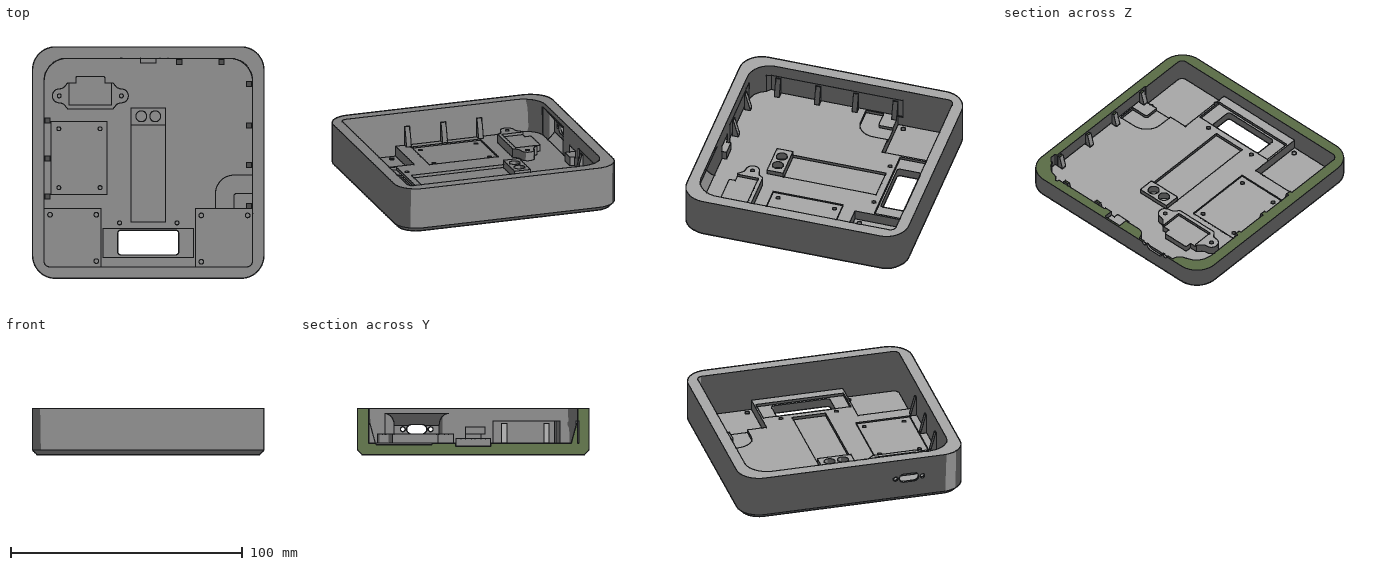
import cadquery as cq
import math

SIZE = 100.0
HEIGHT = 20.0
WALL = 5.0
FLOOR_Z = 5.0
OUTER_RADIUS = 10.0
BOTTOM_CHAMFER = 2.0
INNER = SIZE / 2 - WALL
REAR_RADIUS = 10.0
REAR_RADIUS_AT_FLOOR = 8.0
FRONT_RADIUS = 2.5

OVERLAP = 1.0

BAND_TOP_Z = 14.5
BAND_DEPTH = 0.6
BAND_REAR_START = 8.5
BAND_RIGHT_START = -22.0
NOTCH_DEPTH = 1.6
NOTCH_START = INNER - REAR_RADIUS
NOTCH_REAR_END = 37.4
NOTCH_RIGHT_END = 39.3
NOTCH_INSIDE = INNER - 2 * OVERLAP

RIB_WIDTH = 2.2
RIB_REACH = 2.6
RIB_TIP = 0.4
RIB_FOOT = 0.5
RIB_TOP_Z = 13.6
REAR_RIB_X = (13.4, 31.6)
RIGHT_RIB_Y = (34.0, 16.0, -1.0, -18.8)
LEFT_RIB_Y = (18.2, 1.8, -14.7)

SCREW_DIAMETER = 1.7
SCREW_DEPTH = 2.0

BAY_WIDTH = 24.6
BAY_LENGTH = 25.1
BAY_Z = 0.5
BAY_SCREW_DIAMETER = 2.0
BAY_SCREW_DEPTH = 0.3
BAY_SCREW_SPACING = 20.0
LEFT_BAY_SCREW = (-22.4, -22.5)
RIGHT_BAY_SCREW = (22.9, -22.8)

BOARD_CENTER = (-29.9, 1.9)
BOARD_SIZE = (24.0, 31.5)
BOARD_DEPTH = 0.6
BOARD_SCREW_SPACING = (17.8, 25.4)
BOARD_SCREW_CENTER = (-29.7, 1.9)

DISPLAY_SIZE = (39.2, 12.5)
DISPLAY_Y = -34.6
DISPLAY_DEPTH = 1.2
WINDOW_SIZE = (26.2, 10.6)
WINDOW_Y = -34.5
WINDOW_RADIUS = 1.3
DISPLAY_SCREW_X = 12.4
DISPLAY_SCREW_Y = -26.0

TROUGH_WIDTH = 15.0
TROUGH_REAR_Y = 23.5
TROUGH_FRONT_Y = -25.6
TROUGH_DEPTH = 1.3
BLOCK_FRONT_Y = 16.3
BLOCK_HEIGHT = 2.0
SOCKET_DIAMETER = 4.7
SOCKET_X = 3.0
SOCKET_Y = 20.0

MOUNT_X = -25.0
MOUNT_Y = 28.8
MOUNT_HALF_WIDTH = 9.8
MOUNT_HALF_LENGTH = 5.6
MOUNT_HEIGHT = 3.9
EAR_X = 13.4
EAR_RADIUS = 3.0
EAR_BLEND = (10.8, 4.4)
EAR_BLEND_MIDDLE = (11.9, 3.4)
SEAT_HALF_WIDTH = 9.1
SEAT_FRONT_Y = 24.9
SEAT_DEPTH = 1.2
TAB_WIDTH = 12.5
TAB_REAR_Y = 37.2
TAB_RADIUS = 0.7

CHANNEL_LEFT = 29.0
CHANNEL_REAR = -5.4
CHANNEL_WIDTH = 8.0
CHANNEL_DEPTH = 1.3
CHANNEL_OUTER_RADIUS = 8.0
CHANNEL_INNER_RADIUS = 1.0

PORT_X = -24.4
PORT_Z = 10.0
PORT_PANEL_Y = 49.0
PORT_FLARE = PORT_PANEL_Y - INNER
PORT_PANEL_HALF_WIDTH = 9.7
PORT_PANEL_HALF_HEIGHT = 2.7
PORT_MOUTH_HALF_HEIGHT = 7.8
PORT_SLOT_Z = 11.0
PORT_SLOT_WIDTH = 8.6
PORT_SLOT_HEIGHT = 4.0
PORT_SCREW_SPACING = 12.0
PORT_SCREW_DIAMETER = 2.0

BUTTON_LEFT = -3.3
BUTTON_RIGHT = 3.3
BUTTON_FRONT_Y = 43.0
BUTTON_TOP_Z = 8.9
BUTTON_OPENING_RIGHT = 5.0
BUTTON_OPENING_TOP_Z = 12.0
BUTTON_OPENING_BACK_Y = 49.0


def box(x0, x1, y0, y1, z0, z1):
    return cq.Workplane("XY").box(x1 - x0, y1 - y0, z1 - z0, centered=False).translate((x0, y0, z0))


def centered_box(center, size, z0, z1):
    return cq.Workplane("XY", origin=(*center, z0)).rect(*size).extrude(z1 - z0)


def holes(points, diameter, top_z, depth):
    plane = cq.Workplane("XY", origin=(0, 0, top_z - depth))
    return plane.pushPoints(points).circle(diameter / 2).extrude(depth)


def cavity_outline(z, rear_radius):
    """Square outline with large rear corners and small front corners."""
    rear = INNER - rear_radius
    front = INNER - FRONT_RADIUS
    rear_mid = rear + rear_radius * math.sqrt(0.5)
    front_mid = front + FRONT_RADIUS * math.sqrt(0.5)
    return (
        cq.Workplane("XY", origin=(0, 0, z))
        .moveTo(-rear, INNER)
        .lineTo(rear, INNER)
        .threePointArc((rear_mid, rear_mid), (INNER, rear))
        .lineTo(INNER, -front)
        .threePointArc((front_mid, -front_mid), (front, -INNER))
        .lineTo(-front, -INNER)
        .threePointArc((-front_mid, -front_mid), (-INNER, -front))
        .lineTo(-INNER, rear)
        .threePointArc((-rear_mid, rear_mid), (-rear, INNER))
        .close()
    )


def shell():
    body = (
        cq.Workplane("XY")
        .rect(SIZE, SIZE)
        .extrude(HEIGHT)
        .edges("|Z")
        .fillet(OUTER_RADIUS)
        .faces("<Z")
        .chamfer(BOTTOM_CHAMFER)
    )
    floor_wire = cavity_outline(FLOOR_Z, REAR_RADIUS_AT_FLOOR).wires().val()
    rim_wire = cavity_outline(HEIGHT, REAR_RADIUS).wires().val()
    cavity = cq.Solid.makeLoft([floor_wire, rim_wire], True)
    return body.cut(cq.Workplane(cavity))


def notch(end):
    """Plan of the rear-wall notch, with a 45-degree face that meets the wall at x = end."""
    return [
        (NOTCH_START, NOTCH_INSIDE),
        (NOTCH_START, INNER + NOTCH_DEPTH),
        (end - NOTCH_DEPTH, INNER + NOTCH_DEPTH),
        (end, INNER),
        (end, NOTCH_INSIDE),
    ]


def wall_bands():
    """Recesses in the rear and right walls, each ending in a slanted notch at the shared corner."""
    inside = INNER - OVERLAP
    band_height = BAND_TOP_Z - FLOOR_Z
    rear = box(BAND_REAR_START, NOTCH_START, inside, INNER + BAND_DEPTH, FLOOR_Z, BAND_TOP_Z)
    right = box(inside, INNER + BAND_DEPTH, BAND_RIGHT_START, NOTCH_START, FLOOR_Z, BAND_TOP_Z)
    right_notch = [(y, x) for x, y in notch(NOTCH_RIGHT_END)]
    cutter = rear.union(right)
    for points in (notch(NOTCH_REAR_END), right_notch):
        prism = cq.Workplane("XY", origin=(0, 0, FLOOR_Z)).polyline(points).close().extrude(band_height)
        cutter = cutter.union(prism)
    return cutter


def rib(x, y, angle):
    """Rib that leans on a wall; at angle 0 it stands on the rear wall."""
    profile = [
        (-RIB_REACH, FLOOR_Z),
        (-RIB_REACH, FLOOR_Z + RIB_FOOT),
        (-RIB_TIP, RIB_TOP_Z),
        (0, RIB_TOP_Z),
        (0, FLOOR_Z),
    ]
    solid = cq.Workplane("YZ").polyline(profile).close().extrude(RIB_WIDTH / 2, both=True)
    return solid.rotate((0, 0, 0), (0, 0, 1), angle).translate((x, y, 0))


def ribs():
    places = [(x, INNER, 0) for x in REAR_RIB_X]
    places += [(INNER, y, -90) for y in RIGHT_RIB_Y]
    places += [(-INNER, y, 90) for y in LEFT_RIB_Y]
    group = rib(*places[0])
    for place in places[1:]:
        group = group.union(rib(*place))
    return group


def corner_bay(side, screw):
    """Front corner bay on one side (-1 left, 1 right) with three screw holes."""
    outline = cavity_outline(BAY_Z, REAR_RADIUS_AT_FLOOR).extrude(FLOOR_Z - BAY_Z)
    center = (side * (INNER - BAY_WIDTH / 2), -INNER + BAY_LENGTH / 2)
    bay = centered_box(center, (BAY_WIDTH, BAY_LENGTH), BAY_Z, FLOOR_Z).intersect(outline)
    x, y = screw
    points = [
        (x, y),
        (x + side * BAY_SCREW_SPACING, y),
        (x, y - BAY_SCREW_SPACING),
    ]
    return bay.union(holes(points, BAY_SCREW_DIAMETER, BAY_Z, BAY_SCREW_DEPTH))


def board_seat():
    seat_z = FLOOR_Z - BOARD_DEPTH
    seat = centered_box(BOARD_CENTER, BOARD_SIZE, seat_z, FLOOR_Z)
    x, y = BOARD_SCREW_CENTER
    dx, dy = (spacing / 2 for spacing in BOARD_SCREW_SPACING)
    points = [(x + i * dx, y + j * dy) for i in (-1, 1) for j in (-1, 1)]
    return seat.union(holes(points, SCREW_DIAMETER, seat_z, SCREW_DEPTH))


def display_seat():
    seat = centered_box((0, DISPLAY_Y), DISPLAY_SIZE, FLOOR_Z - DISPLAY_DEPTH, FLOOR_Z)
    window = centered_box((0, WINDOW_Y), WINDOW_SIZE, 0, FLOOR_Z).edges("|Z").fillet(WINDOW_RADIUS)
    points = [(side * DISPLAY_SCREW_X, DISPLAY_SCREW_Y) for side in (-1, 1)]
    return seat.union(window).union(holes(points, SCREW_DIAMETER, FLOOR_Z, SCREW_DEPTH))


def trough():
    half = TROUGH_WIDTH / 2
    return box(-half, half, TROUGH_FRONT_Y, BLOCK_FRONT_Y, FLOOR_Z - TROUGH_DEPTH, FLOOR_Z)


def socket_block():
    half = TROUGH_WIDTH / 2
    return box(-half, half, BLOCK_FRONT_Y, TROUGH_REAR_Y, FLOOR_Z, FLOOR_Z + BLOCK_HEIGHT)


def sockets():
    points = [(side * SOCKET_X, SOCKET_Y) for side in (-1, 1)]
    return holes(points, SOCKET_DIAMETER, FLOOR_Z + BLOCK_HEIGHT, BLOCK_HEIGHT + TROUGH_DEPTH)


def mount():
    """Raised eared plate with a lowered seat that runs out over a rear tab."""
    top_z = FLOOR_Z + MOUNT_HEIGHT
    seat_z = top_z - SEAT_DEPTH
    rear_y = MOUNT_Y + MOUNT_HALF_LENGTH
    half_x = MOUNT_HALF_WIDTH
    half_y = MOUNT_HALF_LENGTH
    blend_x, blend_y = EAR_BLEND
    middle_x, middle_y = EAR_BLEND_MIDDLE
    plate = (
        cq.Workplane("XY", origin=(MOUNT_X, MOUNT_Y, FLOOR_Z))
        .moveTo(-half_x, half_y)
        .lineTo(half_x, half_y)
        .lineTo(blend_x, blend_y)
        .threePointArc((middle_x, middle_y), (EAR_X, EAR_RADIUS))
        .threePointArc((EAR_X + EAR_RADIUS, 0), (EAR_X, -EAR_RADIUS))
        .threePointArc((middle_x, -middle_y), (blend_x, -blend_y))
        .lineTo(half_x, -half_y)
        .lineTo(-half_x, -half_y)
        .lineTo(-blend_x, -blend_y)
        .threePointArc((-middle_x, -middle_y), (-EAR_X, -EAR_RADIUS))
        .threePointArc((-EAR_X - EAR_RADIUS, 0), (-EAR_X, EAR_RADIUS))
        .threePointArc((-middle_x, middle_y), (-blend_x, blend_y))
        .close()
        .extrude(MOUNT_HEIGHT)
    )
    tab = box(MOUNT_X - TAB_WIDTH / 2, MOUNT_X + TAB_WIDTH / 2, MOUNT_Y, TAB_REAR_Y, FLOOR_Z, seat_z)
    tab = tab.edges("|Z and >Y").fillet(TAB_RADIUS)
    seat = box(MOUNT_X - SEAT_HALF_WIDTH, MOUNT_X + SEAT_HALF_WIDTH, SEAT_FRONT_Y, rear_y, seat_z, top_z)
    points = [(MOUNT_X + side * EAR_X, MOUNT_Y) for side in (-1, 1)]
    return plate.cut(seat).union(tab).cut(holes(points, SCREW_DIAMETER, top_z, MOUNT_HEIGHT))


def cable_channel():
    bay_y = -INNER + BAY_LENGTH
    bottom_z = FLOOR_Z - CHANNEL_DEPTH

    def rounded_block(offset, radius):
        """Block from the bay to the right wall, with its rear left corner rounded."""
        block = box(CHANNEL_LEFT + offset, INNER, bay_y, CHANNEL_REAR - offset, bottom_z, FLOOR_Z)
        return block.edges("|Z and <X and >Y").fillet(radius)

    return rounded_block(0, CHANNEL_OUTER_RADIUS).cut(rounded_block(CHANNEL_WIDTH, CHANNEL_INNER_RADIUS))


def port():
    """Rear-wall pocket with rounded sides and sloped top and bottom, plus a slot and two screw holes."""
    narrow = PORT_PANEL_HALF_WIDTH
    wide = narrow + PORT_FLARE
    bend = PORT_FLARE * (1 - math.sqrt(0.5))
    inside = INNER - OVERLAP
    plan = (
        cq.Workplane("XY")
        .moveTo(PORT_X - wide, inside)
        .lineTo(PORT_X + wide, inside)
        .lineTo(PORT_X + wide, INNER)
        .threePointArc((PORT_X + narrow + bend, INNER + bend), (PORT_X + narrow, PORT_PANEL_Y))
        .lineTo(PORT_X - narrow, PORT_PANEL_Y)
        .threePointArc((PORT_X - narrow - bend, INNER + bend), (PORT_X - wide, INNER))
        .close()
        .extrude(HEIGHT)
    )
    side = (
        cq.Workplane("YZ", origin=(PORT_X - wide, 0, PORT_Z))
        .polyline([
            (inside, -PORT_MOUTH_HALF_HEIGHT),
            (INNER, -PORT_MOUTH_HALF_HEIGHT),
            (PORT_PANEL_Y, -PORT_PANEL_HALF_HEIGHT),
            (PORT_PANEL_Y, PORT_PANEL_HALF_HEIGHT),
            (INNER, PORT_MOUTH_HALF_HEIGHT),
            (inside, PORT_MOUTH_HALF_HEIGHT),
        ])
        .close()
        .extrude(2 * wide)
    )
    above_floor = box(-INNER, INNER, inside, INNER, FLOOR_Z, HEIGHT)
    behind_wall = box(-INNER, INNER, INNER, SIZE / 2, 0, HEIGHT)
    pocket = plan.intersect(side).intersect(above_floor.union(behind_wall))
    depth = SIZE / 2 - INNER
    rear = cq.Workplane("XZ", origin=(PORT_X, SIZE / 2, PORT_SLOT_Z))
    slot = rear.slot2D(PORT_SLOT_WIDTH, PORT_SLOT_HEIGHT).extrude(depth)
    screws = rear.rarray(PORT_SCREW_SPACING, 1, 2, 1).circle(PORT_SCREW_DIAMETER / 2).extrude(depth)
    return pocket.union(slot).union(screws)


def button_opening():
    return box(BUTTON_LEFT, BUTTON_OPENING_RIGHT, INNER - OVERLAP, BUTTON_OPENING_BACK_Y,
               BUTTON_TOP_Z, BUTTON_OPENING_TOP_Z)


def button_guide():
    return box(BUTTON_LEFT, BUTTON_RIGHT, BUTTON_FRONT_Y, INNER, FLOOR_Z, BUTTON_TOP_Z)


result = (
    shell()
    .cut(wall_bands())
    .cut(port())
    .cut(button_opening())
    .cut(corner_bay(-1, LEFT_BAY_SCREW))
    .cut(corner_bay(1, RIGHT_BAY_SCREW))
    .cut(board_seat())
    .cut(display_seat())
    .cut(trough())
    .cut(cable_channel())
    .union(socket_block())
    .union(mount())
    .union(button_guide())
    .union(ribs())
    .cut(sockets())
)